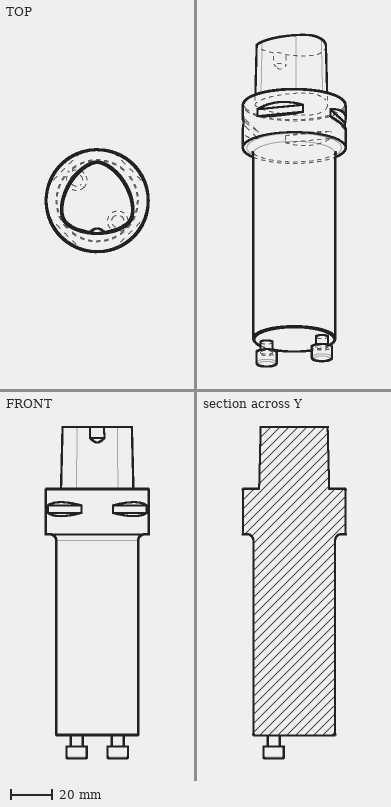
import cadquery as cq
import math

total_length = 161.0
shank_length = 30.0
flange_thickness = 22.2
body_end = 120.0

flange_diameter = 50.0
flange_chamfer = 0.5
body_diameter = 40.0
neck_fillet = 3.0
body_chamfer = 0.5

lobe_width = 35.3
lobe_eccentricity = 1.5
taper_ratio = 1 / 20
seam_angle = 22.0
points_per_face = 9

keyway_diameter = 8.4
keyway_axis_y = -17.7
keyway_depth = 5.5
keyway_cone_angle = 90.0

groove_count = 4
groove_centre_z = -10.0
groove_floor_height = 3.5
groove_floor_distance = 22.2
groove_flank_angle = 30.0

screw_offset = 10.0
screw_shank_diameter = 6.0
screw_head_diameter = 10.0
screw_head_height = 6.0
screw_head_fillet = 0.8

flange_radius = flange_diameter / 2
body_radius = body_diameter / 2
screw_end = total_length - shank_length


def lobe_point(normal_angle, mean_radius):
    """Point of the three-lobed curve where its outward normal has the given angle from +Y."""
    angle = math.radians(normal_angle)
    support = mean_radius + lobe_eccentricity * math.cos(3 * angle)
    support_slope = -3 * lobe_eccentricity * math.sin(3 * angle)
    x = -support * math.sin(angle) - support_slope * math.cos(angle)
    y = support * math.cos(angle) - support_slope * math.sin(angle)
    return cq.Vector(x, y, 0)


def travel_direction(normal_angle):
    """Direction of travel along the curve where the normal has the given angle from +Y."""
    angle = math.radians(normal_angle)
    return cq.Vector(-math.cos(angle), -math.sin(angle), 0)


def lobe_edge(start, end, mean_radius):
    """Smooth edge of the three-lobed curve between two normal angles."""
    step = (end - start) / (points_per_face - 1)
    points = [lobe_point(start + i * step, mean_radius) for i in range(points_per_face)]
    end_tangents = [travel_direction(start), travel_direction(end)]
    return cq.Edge.makeSpline(points, tangents=end_tangents)


def lobe_wire(mean_radius, z):
    """Closed outline made of three lobes and three flatter flanks."""
    lobe_half_angle = 60 - seam_angle
    edges = []
    for lobe_centre in (0, 120, 240):
        lobe_end = lobe_centre + lobe_half_angle
        edges.append(lobe_edge(lobe_centre - lobe_half_angle, lobe_end, mean_radius))
        edges.append(lobe_edge(lobe_end, lobe_end + 2 * seam_angle, mean_radius))
    return cq.Wire.assembleEdges(edges).translate(cq.Vector(0, 0, z))


def make_shank():
    base_radius = lobe_width / 2
    top_radius = base_radius - shank_length * taper_ratio / 2
    wires = [lobe_wire(base_radius, 0), lobe_wire(top_radius, shank_length)]
    return cq.Workplane(obj=cq.Solid.makeLoft(wires, True))


def make_keyway():
    """Round-bottomed cutter with a conical drill point."""
    radius = keyway_diameter / 2
    cone_height = radius / math.tan(math.radians(keyway_cone_angle / 2))
    cylinder_end = shank_length - keyway_depth
    return (
        cq.Workplane("XZ")
        .moveTo(0, shank_length)
        .lineTo(radius, shank_length)
        .lineTo(radius, cylinder_end)
        .lineTo(0, cylinder_end - cone_height)
        .close()
        .revolve(360, (0, 0), (0, 1))
        .translate((0, keyway_axis_y, 0))
    )


def make_flange_and_body():
    """Turned flange with a filleted neck and the long cylindrical body."""
    flange_bottom = -flange_thickness
    fillet_outer = body_radius + neck_fillet
    fillet_end = flange_bottom - neck_fillet
    diagonal = neck_fillet * (1 - math.sqrt(0.5))
    return (
        cq.Workplane("XZ")
        .lineTo(flange_radius - flange_chamfer, 0)
        .lineTo(flange_radius, -flange_chamfer)
        .lineTo(flange_radius, flange_bottom)
        .lineTo(fillet_outer, flange_bottom)
        .threePointArc((body_radius + diagonal, flange_bottom - diagonal), (body_radius, fillet_end))
        .lineTo(body_radius, -body_end + body_chamfer)
        .lineTo(body_radius - body_chamfer, -body_end)
        .lineTo(0, -body_end)
        .close()
        .revolve(360, (0, 0), (0, 1))
    )


def make_groove(angle):
    """Straight trapezoidal groove with a flat floor, facing the given direction."""
    depth = flange_radius - groove_floor_distance
    floor_half = groove_floor_height / 2
    mouth_half = floor_half + depth * math.tan(math.radians(groove_flank_angle))
    return (
        cq.Workplane("XZ")
        .polyline([
            (groove_floor_distance, groove_centre_z - floor_half),
            (flange_radius, groove_centre_z - mouth_half),
            (flange_radius, groove_centre_z + mouth_half),
            (groove_floor_distance, groove_centre_z + floor_half),
        ])
        .close()
        .extrude(flange_radius, both=True)
        .rotate((0, 0, 0), (0, 0, 1), angle)
    )


def make_screw(x, y):
    """Screw head with a rounded lower rim, hanging on its shank below the body."""
    head_top = screw_head_height - screw_end
    shank = (
        cq.Workplane("XY", origin=(x, y, head_top))
        .circle(screw_shank_diameter / 2)
        .extrude(-body_end - head_top)
    )
    head = (
        cq.Workplane("XY", origin=(x, y, -screw_end))
        .circle(screw_head_diameter / 2)
        .extrude(screw_head_height)
        .faces("<Z")
        .edges()
        .fillet(screw_head_fillet)
    )
    return head.union(shank)


result = make_flange_and_body().union(make_shank()).cut(make_keyway())

for index in range(groove_count):
    groove_angle = (index + 0.5) * 360 / groove_count
    result = result.cut(make_groove(groove_angle))

for side in (-1, 1):
    result = result.union(make_screw(side * screw_offset, -side * screw_offset))